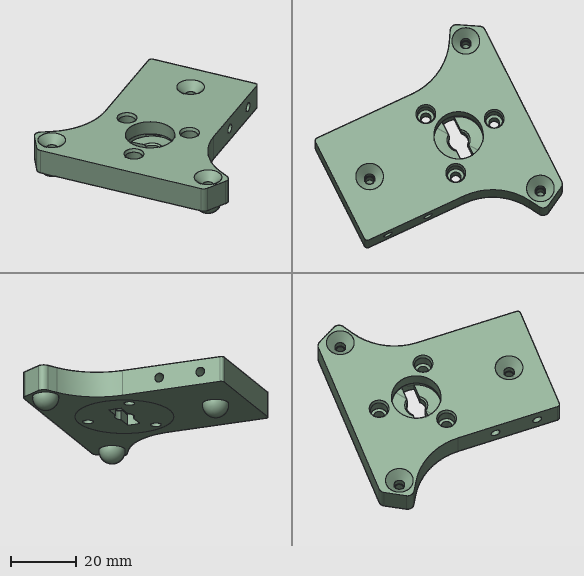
import cadquery as cq
import math


plate_thickness = 8.0
plate_half_width = 18.0
plate_back = 40.0
back_corner_radius = 1.0
arm_angle = 30.0
arm_reach = 35.0
arm_half_width = 5.0
arm_corner_radius = 2.0
neck_radius = 20.0

ball_circle_radius = 30.0
ball_angles = (90, 210, 330)
ball_radius = 4.0
ball_drop = 0.3
ball_screw_clearance = 3.2
countersink_diameter = 8.4
countersink_angle = 90.0
ball_thread_diameter = 2.5
ball_thread_depth = 3.5
drill_tip_angle = 118.0

bore_diameter = 15.0
disc_diameter = 30.0
disc_thickness = 3.7
disc_pocket_depth = 0.3
disc_hole_diameter = 6.0
disc_hole_chamfer = 0.5
slot_width = 4.0
ramp_start_angle = 35.0
ramp_end_angle = 180.0
ramp_drop = 1.0

disc_screw_circle_radius = 12.0
disc_screw_angles = (30, 150, 270)
disc_screw_clearance = 3.2
disc_screw_socket_diameter = 5.2
disc_screw_mouth_diameter = 6.0
disc_screw_mouth_depth = 1.0

side_hole_diameter = 2.8
side_hole_depth = 10.0
side_hole_positions = (19.0, 32.5)

margin = 1.0


def polar(radius, angle):
    return (radius * math.cos(math.radians(angle)), radius * math.sin(math.radians(angle)))


def arm_point(along, across):
    """Point on the right arm: distance along its axis, and distance to its back side."""
    c = math.cos(math.radians(arm_angle))
    s = math.sin(math.radians(arm_angle))
    return (along * c + across * s, -along * s + across * c)


def mirrored(point):
    return (-point[0], point[1])


def rod(diameter, z_bottom, z_top, center=(0, 0)):
    return (
        cq.Workplane("XY", origin=(*center, z_bottom))
        .circle(diameter / 2)
        .extrude(z_top - z_bottom)
    )


def cone(diameter_bottom, diameter_top, z_bottom, z_top, center):
    solid = cq.Solid.makeCone(
        diameter_bottom / 2,
        diameter_top / 2,
        z_top - z_bottom,
        pnt=cq.Vector(*center, z_bottom),
    )
    return cq.Workplane(solid)


def plate_blank():
    front_corner = arm_point(arm_reach, -arm_half_width)
    tip_corner = arm_point(arm_reach, arm_half_width)

    neck_x = plate_half_width + neck_radius
    tilt = math.radians(arm_angle)
    neck_y = (arm_half_width + neck_radius - neck_x * math.sin(tilt)) / math.cos(tilt)

    def neck_point(angle):
        dx, dy = polar(neck_radius, angle)
        return (neck_x + dx, neck_y + dy)

    neck_end_angle = 270 - arm_angle
    neck_top = neck_point(180)
    neck_middle = neck_point((180 + neck_end_angle) / 2)
    neck_bottom = neck_point(neck_end_angle)

    blank = (
        cq.Workplane("XY")
        .moveTo(*mirrored(front_corner))
        .lineTo(*front_corner)
        .lineTo(*tip_corner)
        .lineTo(*neck_bottom)
        .threePointArc(neck_middle, neck_top)
        .lineTo(plate_half_width, plate_back)
        .lineTo(-plate_half_width, plate_back)
        .lineTo(*mirrored(neck_top))
        .threePointArc(mirrored(neck_middle), mirrored(neck_bottom))
        .lineTo(*mirrored(tip_corner))
        .close()
        .extrude(plate_thickness)
    )
    arm_corners = cq.selectors.BoxSelector(
        (-arm_reach, front_corner[1] - margin, -margin),
        (arm_reach, tip_corner[1] + margin, plate_thickness + margin),
    )
    return (
        blank.edges("|Z").edges(arm_corners).fillet(arm_corner_radius)
        .edges("|Z").edges(">Y").fillet(back_corner_radius)
    )


def ball_mount_cut(center):
    """Spherical seat below, screw clearance hole, and countersink above."""
    slope = math.tan(math.radians(countersink_angle / 2))
    depth = (countersink_diameter - ball_screw_clearance) / 2 / slope
    seat = cq.Workplane("XY", origin=(*center, -ball_drop)).sphere(ball_radius)
    hole = rod(ball_screw_clearance, 0, plate_thickness, center)
    countersink = cone(
        ball_screw_clearance,
        countersink_diameter,
        plate_thickness - depth,
        plate_thickness,
        center,
    )
    return seat.union(hole).union(countersink)


def disc_screw_cut(center):
    """Socket from the top of the plate down to the wedge disc, with a tapered mouth."""
    socket = rod(disc_screw_socket_diameter, disc_thickness, plate_thickness, center)
    mouth = cone(
        disc_screw_socket_diameter,
        disc_screw_mouth_diameter,
        plate_thickness - disc_screw_mouth_depth,
        plate_thickness,
        center,
    )
    return socket.union(mouth)


def side_hole_cut(side, y):
    """Blind hole entering the left (side = -1) or right (side = 1) face."""
    return cq.Workplane(
        cq.Solid.makeCylinder(
            side_hole_diameter / 2,
            side_hole_depth,
            pnt=cq.Vector(side * plate_half_width, y, plate_thickness / 2),
            dir=cq.Vector(-side, 0, 0),
        )
    )


def make_plate():
    plate = plate_blank()
    plate = plate.cut(rod(disc_diameter, 0, disc_thickness))
    plate = plate.cut(rod(bore_diameter, 0, plate_thickness))
    for angle in ball_angles:
        plate = plate.cut(ball_mount_cut(polar(ball_circle_radius, angle)))
    for angle in disc_screw_angles:
        plate = plate.cut(disc_screw_cut(polar(disc_screw_circle_radius, angle)))
    for side in (-1, 1):
        for y in side_hole_positions:
            plate = plate.cut(side_hole_cut(side, y))
    return plate


def make_ball(center):
    """Ball with a threaded-size blind hole, drilled from its top."""
    ball_top = ball_radius - ball_drop
    hole_bottom = ball_top - ball_thread_depth
    tip_depth = ball_thread_diameter / 2 / math.tan(math.radians(drill_tip_angle / 2))
    ball = cq.Workplane("XY", origin=(*center, -ball_drop)).sphere(ball_radius)
    ball = ball.cut(rod(ball_thread_diameter, hole_bottom, ball_top, center))
    return ball.cut(cone(0, ball_thread_diameter, hole_bottom - tip_depth, hole_bottom, center))


def ramp_cut():
    """Space above one helical ramp, falling counterclockwise from the pocket floor."""
    sweep_angle = ramp_end_angle - ramp_start_angle
    hole_radius = disc_hole_diameter / 2
    inner_radius = hole_radius - margin
    outer_radius = bore_diameter / 2
    height = ramp_drop + disc_pocket_depth + margin
    path = cq.Wire.makeHelix(
        ramp_drop * 360 / sweep_angle, ramp_drop, hole_radius, lefthand=True
    )
    section = (
        cq.Workplane("XZ")
        .moveTo(inner_radius, height)
        .lineTo(outer_radius, height)
        .lineTo(outer_radius, 0)
        .lineTo(hole_radius + disc_hole_chamfer, 0)
        .lineTo(hole_radius, -disc_hole_chamfer)
        .lineTo(inner_radius, -disc_hole_chamfer)
        .close()
    )
    ramp = section.sweep(cq.Workplane(path), isFrenet=True)
    ramp = ramp.rotate((0, 0, 0), (0, 0, 1), ramp_end_angle)
    return ramp.translate((0, 0, disc_thickness - disc_pocket_depth - ramp_drop))


def make_wedge_disc():
    disc = rod(disc_diameter, 0, disc_thickness)
    disc = disc.cut(rod(bore_diameter, disc_thickness - disc_pocket_depth, disc_thickness))
    for turn in (0, 180):
        disc = disc.cut(ramp_cut().rotate((0, 0, 0), (0, 0, 1), turn))
    slot = (
        cq.Workplane("XY")
        .rect(bore_diameter, slot_width)
        .extrude(disc_thickness)
        .intersect(rod(bore_diameter, 0, disc_thickness))
    )
    disc = disc.cut(slot).cut(rod(disc_hole_diameter, 0, disc_thickness))
    for angle in disc_screw_angles:
        center = polar(disc_screw_circle_radius, angle)
        disc = disc.cut(rod(disc_screw_clearance, 0, disc_thickness, center))
    return disc


plate = make_plate()
wedge_disc = make_wedge_disc()
balls = [make_ball(polar(ball_circle_radius, angle)) for angle in ball_angles]

result = cq.Compound.makeCompound(
    [body.solids().val() for body in (plate, wedge_disc, *balls)]
)